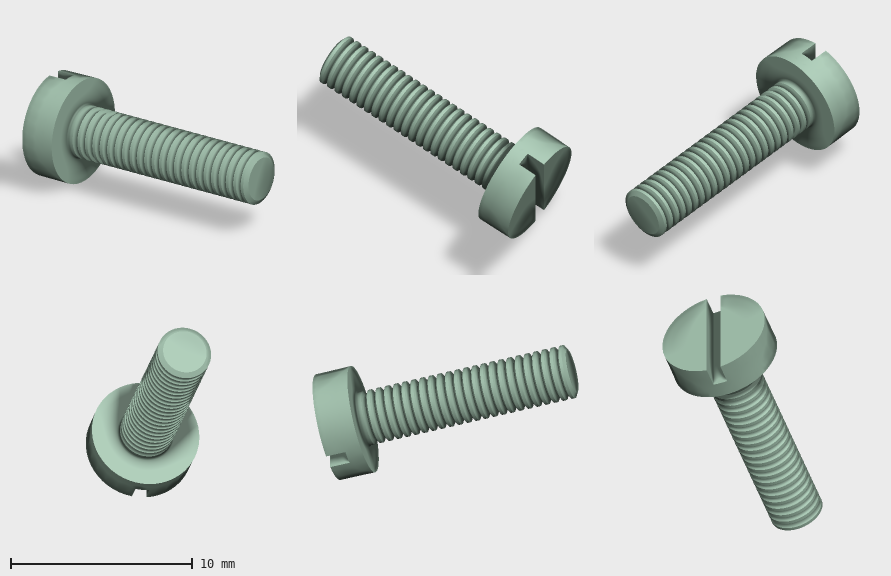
import cadquery as cq
import math

total_length = 14.0
head_diameter = 6.0
head_face_diameter = 5.96
head_height = 2.0
slot_width = 0.8
slot_depth = 1.1
thread_diameter = 3.0
thread_depth = 0.28
thread_angle = 60.0
turn_count = 24
neck_fillet = 0.1

shank_length = total_length - head_height
pitch = shank_length / turn_count
thread_radius = thread_diameter / 2
root_radius = thread_radius - thread_depth
groove_half_width = thread_depth * math.tan(math.radians(thread_angle / 2))


def make_head():
    """Slightly tapered cheese head, widest at its bearing face."""
    profile = [
        (0, 0),
        (0, head_face_diameter / 2),
        (head_height, head_diameter / 2),
        (head_height, 0),
    ]
    return cq.Workplane("XZ").polyline(profile).close().revolve(360, (0, 0, 0), (1, 0, 0))


def make_shank():
    """Shank with evenly spaced V grooves, flared by a small fillet under the head."""
    outline = (
        cq.Workplane("XZ")
        .moveTo(head_height, 0)
        .lineTo(head_height, thread_radius + neck_fillet)
        .radiusArc((head_height + neck_fillet, thread_radius), -neck_fillet)
    )
    for turn in range(1, turn_count):
        root_x = head_height + turn * pitch
        outline = (
            outline.lineTo(root_x - groove_half_width, thread_radius)
            .lineTo(root_x, root_radius)
            .lineTo(root_x + groove_half_width, thread_radius)
        )
    outline = (
        outline.lineTo(total_length - groove_half_width, thread_radius)
        .lineTo(total_length, root_radius)
        .lineTo(total_length, 0)
    )
    return outline.close().revolve(360, (0, 0, 0), (1, 0, 0))


def make_slot():
    """Screwdriver slot running along Z across the whole head face."""
    return cq.Workplane("XY").box(
        slot_depth, slot_width, head_diameter, centered=(False, True, True)
    )


result = make_head().union(make_shank()).cut(make_slot())